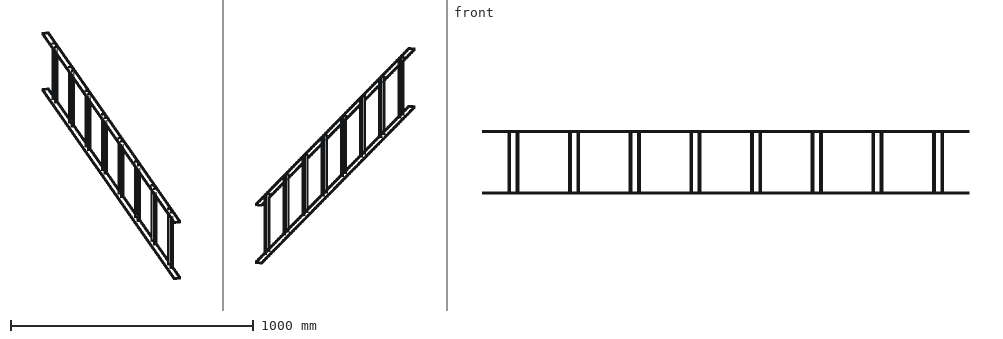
import cadquery as cq
import math

LENGTH = 2000.0
HEIGHT = 255.0
RAIL_THICKNESS = 3.0
RAIL_OVERHANG = 15.0

RUNG_COUNT = 8
RUNG_DEPTH = 11.0
RUNG_SHEET = 1.5
FLOOR_HALF_WIDTH = 13.5
FLANK_ANGLE = math.radians(34)

RAIL_DEPTH = RUNG_DEPTH + RAIL_OVERHANG
RUNG_PITCH = LENGTH / RUNG_COUNT
RUNG_LENGTH = HEIGHT - 2 * RAIL_THICKNESS

BACK_Y = RAIL_DEPTH / 2


def make_rail(bottom_z):
    """Flat bar over the full length, lying on the height bottom_z."""
    bar = cq.Workplane("XY").box(LENGTH, RAIL_DEPTH, RAIL_THICKNESS, centered=(True, True, False))
    return bar.translate((0, 0, bottom_z))


def rung_half_profile():
    """Right half of the channel section: floor corner, square-cut lip, back corner."""
    lean = math.tan(FLANK_ANGLE)
    floor_y = BACK_Y - RUNG_SHEET
    front_y = BACK_Y - RUNG_DEPTH
    lip_inner_x = FLOOR_HALF_WIDTH + lean * (floor_y - front_y)
    lip_outer_x = lip_inner_x + RUNG_SHEET * math.cos(FLANK_ANGLE)
    lip_outer_y = front_y + RUNG_SHEET * math.sin(FLANK_ANGLE)
    back_half_width = lip_outer_x - lean * (BACK_Y - lip_outer_y)
    return [
        (FLOOR_HALF_WIDTH, floor_y),
        (lip_inner_x, front_y),
        (lip_outer_x, lip_outer_y),
        (back_half_width, BACK_Y),
    ]


def make_rung(center_x):
    """Upright channel that fills the height between the two rails."""
    right_side = rung_half_profile()
    left_side = [(-x, y) for x, y in reversed(right_side)]
    channel = cq.Workplane("XY").polyline(right_side + left_side).close().extrude(RUNG_LENGTH)
    return channel.translate((center_x, 0, RAIL_THICKNESS))


lower_rail = make_rail(0)
upper_rail = make_rail(HEIGHT - RAIL_THICKNESS)

rungs = []
for index in range(RUNG_COUNT):
    rung_x = (index + 0.5) * RUNG_PITCH - LENGTH / 2
    rungs.append(make_rung(rung_x).val())

result = cq.Compound.makeCompound([lower_rail.val(), upper_rail.val(), *rungs])